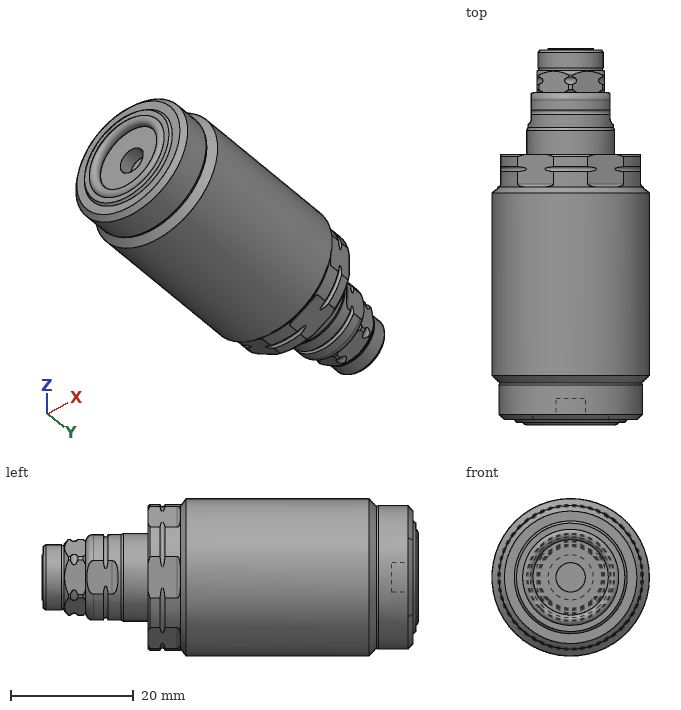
import cadquery as cq
import math

LENGTH = 61.4

front_face_y = 0.85
front_face_radius = 10.8
front_ring_radius = 11.75
front_ring_chamfer_y = 1.7
rim_radius = 9.2
rim_top_radius = 8.85
rim_y = 0.4
seal_section_radius = 0.9
seal_centre_radius = 7.05
recess_floor_y = 1.7
hole_radius = 2.4
hole_depth = 2.65

body_diameter = 25.75
body_radius = body_diameter / 2
body_front_y = 8.1
body_back_y = 37.9
relief_radius = 11.6
relief_y = 6.9
relief_end_y = 6.5
body_back_relief_radius = 11.7
body_back_relief_y = 38.8

nut_radius = 11.9
nut_end_radius = 11.6
nut_chamfer_y = 43.8
nut_back_y = 44.15
nut_flat_count = 6
nut_flat_distance = 11.4
nut_flat_start_y = 39.4
nut_runout_radius = 0.55
nut_groove_y = 41.75
nut_groove_half_width = 0.4
nut_groove_depth = 0.35

shoulder_radius = 7.2
shoulder_back_y = 48.1
collar_radius = 7.0
collar_front_y = 48.5
collar_back_y = 54.3
collar_fillet = 1.2
collar_flat_count = 2
collar_flat_distance = 6.45
collar_flat_start_y = 50.0
collar_runout_radius = 1.15
collar_groove_y = 51.05
collar_groove_half_width = 0.35
collar_groove_depth = 0.4

hex_sides = 6
hex_flat_distance = 5.5
hex_front_y = collar_back_y
hex_back_y = 57.85
hex_rim_radius = 6.2
hex_front_radius = 5.9
hex_front_chamfer = 0.4
hex_back_radius = 5.4
hex_back_chamfer = 0.75
hex_groove_y = 56.2
hex_groove_half_width = 0.6
hex_groove_depth = 0.3

neck_radius = 5.2
plug_radius = 5.35
plug_front_y = 58.2
plug_chamfer_y = 60.8
plug_face_radius = 5.05
plug_face_y = 61.25
plug_disc_radius = 3.7


def turn(profile):
    """Revolve a closed (radius, y) profile around the Y axis."""
    return profile.close().revolve(360, (0, 0, 0), (0, 1, 0))


def arc_groove(profile, groove_y, half_width, outer_radius, depth):
    """Continue a profile in +Y along a round-bottomed groove."""
    return profile.lineTo(outer_radius, groove_y - half_width).threePointArc(
        (outer_radius - depth, groove_y), (outer_radius, groove_y + half_width)
    )


def cut_flats(body, count, distance, start_y, runout_radius, back_y, width):
    """Mill evenly spaced flats, open at back_y and curving out to the surface below start_y."""
    outer_distance = distance + runout_radius
    arc_mid = runout_radius * math.sqrt(0.5)
    cutter = (
        cq.Workplane("XY")
        .moveTo(distance, start_y)
        .threePointArc(
            (outer_distance - arc_mid, start_y - arc_mid),
            (outer_distance, start_y - runout_radius),
        )
        .lineTo(outer_distance, back_y)
        .lineTo(distance, back_y)
        .close()
        .extrude(width / 2, both=True)
    )
    for index in range(count):
        body = body.cut(cutter.rotate((0, 0, 0), (0, 1, 0), index * 360 / count))
    return body


def make_body():
    """Front ring with its seal rim and recess, and the main cylinder."""
    profile = (
        cq.Workplane("XY")
        .moveTo(0, recess_floor_y)
        .lineTo(seal_centre_radius, recess_floor_y)
        .lineTo(seal_centre_radius, rim_y)
        .lineTo(rim_top_radius, rim_y)
        .lineTo(rim_radius, front_face_y)
        .lineTo(front_face_radius, front_face_y)
        .lineTo(front_ring_radius, front_ring_chamfer_y)
        .lineTo(front_ring_radius, relief_end_y)
        .lineTo(relief_radius, relief_y)
        .lineTo(body_radius, body_front_y)
        .lineTo(body_radius, body_back_y)
        .lineTo(body_back_relief_radius, body_back_relief_y)
        .lineTo(0, body_back_relief_y)
    )
    return turn(profile)


def make_seal():
    """Seal ring of round section, resting in the recess and touching y = 0."""
    section = cq.Workplane("XY").center(seal_centre_radius, seal_section_radius).circle(seal_section_radius)
    return section.revolve(360, (-seal_centre_radius, 0, 0), (-seal_centre_radius, 1, 0))


def make_nut():
    """Large round nut with six flats and a groove."""
    profile = cq.Workplane("XY").moveTo(0, body_back_relief_y).lineTo(nut_radius, body_back_relief_y)
    profile = arc_groove(profile, nut_groove_y, nut_groove_half_width, nut_radius, nut_groove_depth)
    profile = (
        profile.lineTo(nut_radius, nut_chamfer_y)
        .lineTo(nut_end_radius, nut_back_y)
        .lineTo(0, nut_back_y)
    )
    return cut_flats(
        turn(profile), nut_flat_count, nut_flat_distance,
        nut_flat_start_y, nut_runout_radius, nut_back_y, 2 * nut_radius,
    )


def make_collar():
    """Shoulder and grooved collar with two flats and a rounded back edge."""
    fillet_y = collar_back_y - collar_fillet
    top_radius = collar_radius - collar_fillet
    fillet_mid = collar_fillet * math.sqrt(0.5)
    profile = (
        cq.Workplane("XY")
        .moveTo(0, nut_back_y)
        .lineTo(shoulder_radius, nut_back_y)
        .lineTo(shoulder_radius, shoulder_back_y)
        .lineTo(collar_radius, collar_front_y)
    )
    profile = arc_groove(
        profile, collar_groove_y, collar_groove_half_width, collar_radius, collar_groove_depth
    )
    profile = (
        profile.lineTo(collar_radius, fillet_y)
        .threePointArc((top_radius + fillet_mid, fillet_y + fillet_mid), (top_radius, collar_back_y))
        .lineTo(0, collar_back_y)
    )
    return cut_flats(
        turn(profile), collar_flat_count, collar_flat_distance,
        collar_flat_start_y, collar_runout_radius, collar_back_y, 2 * collar_radius,
    )


def make_hex():
    """Small hexagon nut with turned, grooved corners and chamfered ends."""
    profile = (
        cq.Workplane("XY")
        .moveTo(0, hex_front_y)
        .lineTo(hex_front_radius, hex_front_y)
        .lineTo(hex_rim_radius, hex_front_y + hex_front_chamfer)
    )
    profile = arc_groove(
        profile, hex_groove_y, hex_groove_half_width, hex_rim_radius, hex_groove_depth
    )
    profile = (
        profile.lineTo(hex_rim_radius, hex_back_y - hex_back_chamfer)
        .lineTo(hex_back_radius, hex_back_y)
        .lineTo(0, hex_back_y)
    )
    corner_distance = hex_flat_distance / math.cos(math.pi / hex_sides)
    prism = (
        cq.Workplane("XZ", origin=(0, hex_front_y, 0))
        .transformed(rotate=(0, 0, 180 / hex_sides))
        .polygon(hex_sides, 2 * corner_distance)
        .extrude(hex_front_y - hex_back_y)
    )
    return turn(profile).intersect(prism)


def make_plug():
    """Neck running through the hexagon and the plain plug end."""
    profile = (
        cq.Workplane("XY")
        .moveTo(0, collar_back_y)
        .lineTo(neck_radius, collar_back_y)
        .lineTo(neck_radius, plug_front_y)
        .lineTo(plug_radius, plug_front_y)
        .lineTo(plug_radius, plug_chamfer_y)
        .lineTo(plug_face_radius, plug_face_y)
        .lineTo(plug_disc_radius, plug_face_y)
        .lineTo(plug_disc_radius, LENGTH)
        .lineTo(0, LENGTH)
    )
    return turn(profile)


centre_hole = (
    cq.Workplane("XZ", origin=(0, recess_floor_y, 0))
    .circle(hole_radius)
    .extrude(-hole_depth)
)

result = (
    make_body()
    .union(make_seal())
    .union(make_nut())
    .union(make_collar())
    .union(make_hex())
    .union(make_plug())
    .cut(centre_hole)
)